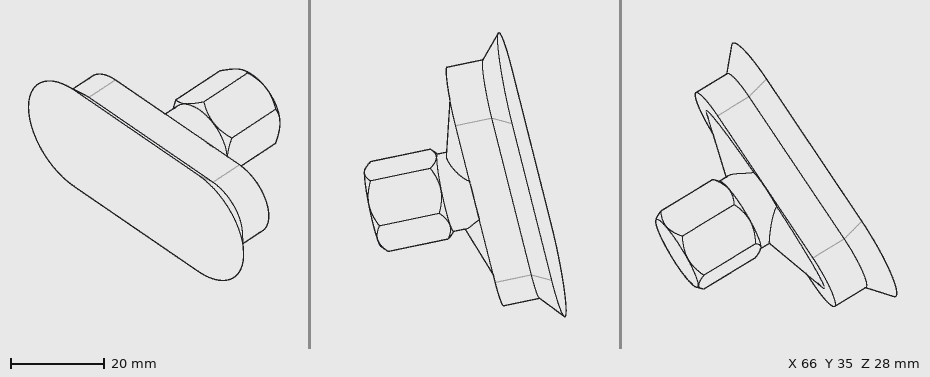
import cadquery as cq
import math

STRAIGHT_LENGTH = 38.0
LIP_WIDTH = 28.0
BODY_WIDTH = 18.0
LIP_TOP = 4.5
BODY_TOP = 12.5
NECK_TOP = 19.0
NECK_DIAMETER = 17.0

SHOULDER_RADIUS = 7.5
SHOULDER_REACH = 23.6
SHOULDER_CREST = 16.9

HEX_TOP = 35.0
HEX_FLATS = 17.15
HEX_END_DIAMETER = 17.0
HEX_CHAMFER = 1.4

NECK_RADIUS = NECK_DIAMETER / 2
HEX_CORNERS = HEX_FLATS / math.cos(math.radians(30))


def plane_at(y):
    """Sketch plane at height y whose normal is +Y and local x is +X."""
    return cq.Workplane(cq.Plane(origin=(0, y, 0), xDir=(1, 0, 0), normal=(0, 1, 0)))


def stadium(workplane, width):
    return workplane.slot2D(STRAIGHT_LENGTH + width, width)


def make_lip():
    inset = (LIP_WIDTH - BODY_WIDTH) / 2
    taper = math.degrees(math.atan(inset / LIP_TOP))
    return stadium(plane_at(0), LIP_WIDTH).extrude(LIP_TOP, taper=taper)


def make_shoulder(side):
    """Tilted bar on one side (+1 or -1 in X), trimmed at the body top."""
    run = SHOULDER_REACH - NECK_RADIUS
    drop = SHOULDER_CREST - BODY_TOP
    slope = math.atan2(drop, run)
    axis_y = SHOULDER_CREST + NECK_RADIUS * math.tan(slope) - SHOULDER_RADIUS / math.cos(slope)
    axis = (side * math.cos(slope), -math.sin(slope), 0)
    bar = cq.Workplane(cq.Plane(origin=(0, axis_y, 0), xDir=(0, 0, 1), normal=axis))
    bar = bar.circle(SHOULDER_RADIUS).extrude(SHOULDER_REACH / math.cos(slope))
    keep = (
        plane_at(BODY_TOP)
        .center(side * SHOULDER_REACH / 2, 0)
        .rect(SHOULDER_REACH, BODY_WIDTH)
        .extrude(NECK_TOP - BODY_TOP)
    )
    return bar.intersect(keep)


def make_pad():
    body = stadium(plane_at(LIP_TOP), BODY_WIDTH).extrude(BODY_TOP - LIP_TOP)
    neck = plane_at(BODY_TOP).circle(NECK_RADIUS).extrude(NECK_TOP - BODY_TOP)
    pad = make_lip().union(body).union(neck)
    for side in (-1, 1):
        pad = pad.union(make_shoulder(side))
    return pad.solids()


def make_connector():
    """Hexagonal prism with corners on +Z and -Z, both ends turned to a cone."""
    prism = (
        plane_at(NECK_TOP)
        .transformed(rotate=(0, 0, 90))
        .polygon(6, HEX_CORNERS)
        .extrude(HEX_TOP - NECK_TOP)
    )
    end_radius = HEX_END_DIAMETER / 2
    corner_radius = HEX_CORNERS / 2
    envelope = (
        cq.Workplane("XY")
        .moveTo(0, NECK_TOP)
        .lineTo(end_radius, NECK_TOP)
        .lineTo(corner_radius, NECK_TOP + HEX_CHAMFER)
        .lineTo(corner_radius, HEX_TOP - HEX_CHAMFER)
        .lineTo(end_radius, HEX_TOP)
        .lineTo(0, HEX_TOP)
        .close()
        .revolve(360, (0, 0, 0), (0, 1, 0))
    )
    return prism.intersect(envelope).solids()


pad = make_pad()
connector = make_connector()

result = cq.Compound.makeCompound([pad.val(), connector.val()])